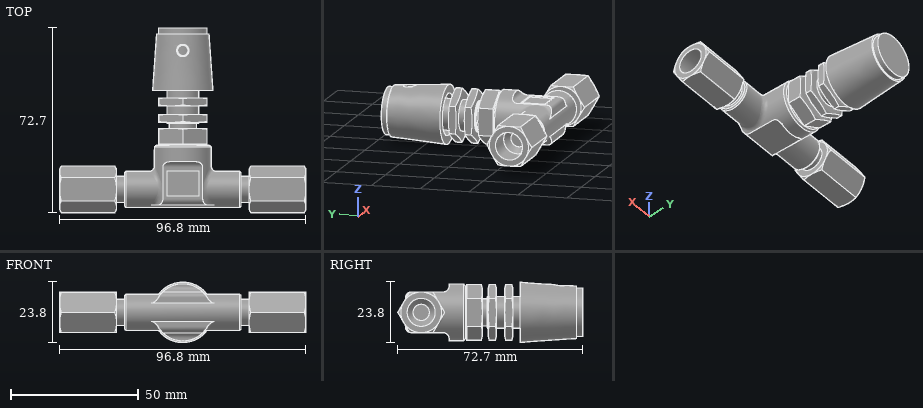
import cadquery as cq
import math


RUN_RADIUS = 7.2
RUN_HALF_LENGTH = 22.9
RUN_END_CHAMFER = 0.6
COLLAR_RADIUS = 11.2
COLLAR_TOP = 17.4
COLLAR_CHAMFER_RADIAL = 0.9
COLLAR_CHAMFER_AXIAL = 0.8
NECK_FILLET = 1.9
PAD_HALF_HEIGHT = 8.0
PAD_BOTTOM = -6.2
PAD_EDGE_RADIUS = 2.3
PAD_SHOULDER = 10.9
LABEL_WIDTH = 12.6
LABEL_TOP = 7.3
LABEL_BOTTOM = -2.5
LABEL_DEPTH = 0.5

FITTING_END = 48.4
FITTING_HEX_LENGTH = 22.4
FITTING_HEX_FLATS = 16.0
FITTING_CHAMFER = 0.7
FITTING_NECK_RADIUS = 5.2
BORE_RADIUS = 5.5
BORE_DEPTH = 11.6
BORE_SEAT_RADIUS = 3.2

BONNET_HEX_FLATS = 19.1
BONNET_HEX_CHAMFER = 0.4
BONNET_HEX_BOTTOM = 17.8
BONNET_HEX_TOP = 24.0
BONNET_NECK_RADIUS = 5.4
THREAD_RADIUS = 6.3
THREAD_BOTTOM = 25.8
THREAD_CHAMFER = 0.3
LOCK_NUT_THICKNESS = 3.2
LOCK_NUT_BOTTOMS = (26.3, 32.8)

KNOB_BOTTOM = 38.8
KNOB_SHOULDER = 61.1
KNOB_TOP = 63.5
KNOB_BOTTOM_RADIUS = 11.9
KNOB_SHOULDER_RADIUS = 10.4
KNOB_CAP_RADIUS = 9.6
KNOB_RECESS_RADIUS = 8.4
KNOB_RECESS_DEPTH = 7.7
KNOB_RECESS_TOP = KNOB_BOTTOM + KNOB_RECESS_DEPTH
SCREW_HOLE_Y = 54.6
SCREW_HOLE_RADIUS = 2.0
SCREW_MOUTH_RADIUS = 2.4
SCREW_MOUTH_LEVEL = 9.6
SCREW_FLOOR_RADIUS = 6.3


def spindle_cylinder(radius, bottom, top):
    """A cylinder on the spindle axis, between two Y levels."""
    return cq.Workplane("XZ", origin=(0, bottom, 0)).circle(radius).extrude(bottom - top)


def spindle_turning(points):
    """A solid turned about the spindle axis from (radius, Y) points."""
    return cq.Workplane("XY").polyline(points).close().revolve(360, (0, 0, 0), (0, 1, 0))


def hexagon(flats, length, chamfer, both_ends):
    """A hexagonal prism from Z = 0 up, two corners on X, with its top or both ends turned to a cone."""
    corner = flats / math.sqrt(3)
    face = flats / 2
    bottom = [(face, 0), (corner, chamfer)] if both_ends else [(corner, 0)]
    top = [(corner, length - chamfer), (face, length)]
    outline = [(0, 0), *bottom, *top, (0, length)]
    turned = cq.Workplane("XZ").polyline(outline).close().revolve(360, (0, 0, 0), (0, 1, 0))
    return cq.Workplane("XY").polygon(6, 2 * corner).extrude(length).intersect(turned)


def spindle_hexagon(bottom, top, both_ends):
    """A hexagon on the spindle axis with corners at +Z and -Z."""
    upright = hexagon(BONNET_HEX_FLATS, top - bottom, BONNET_HEX_CHAMFER, both_ends)
    corners_turned = upright.rotate((0, 0, 0), (0, 0, 1), 90)
    return corners_turned.rotate((0, 0, 0), (1, 0, 0), -90).translate((0, bottom, 0))


def pad_profile():
    """The slab that flattens the collar above and below the run and rounds its lower edges."""
    bend = PAD_EDGE_RADIUS * math.sqrt(0.5)
    shoulder_z = PAD_HALF_HEIGHT + PAD_EDGE_RADIUS
    edge_y = PAD_BOTTOM + PAD_EDGE_RADIUS
    edge_z = PAD_HALF_HEIGHT - PAD_EDGE_RADIUS
    half = (
        cq.Workplane("YZ", origin=(-RUN_HALF_LENGTH, 0, 0))
        .moveTo(COLLAR_TOP, 0)
        .lineTo(COLLAR_TOP, COLLAR_RADIUS)
        .lineTo(PAD_SHOULDER, COLLAR_RADIUS)
        .lineTo(PAD_SHOULDER, shoulder_z)
        .threePointArc(
            (PAD_SHOULDER - PAD_EDGE_RADIUS + bend, shoulder_z - bend),
            (PAD_SHOULDER - PAD_EDGE_RADIUS, PAD_HALF_HEIGHT),
        )
        .lineTo(edge_y, PAD_HALF_HEIGHT)
        .threePointArc((edge_y - bend, edge_z + bend), (PAD_BOTTOM, edge_z))
        .lineTo(PAD_BOTTOM, 0)
        .close()
        .extrude(2 * RUN_HALF_LENGTH)
    )
    return half.union(half.mirror("XY"))


def make_tee():
    """The run and the collar with filleted joints, flattened to a pad with a shallow label recess."""
    run = (
        cq.Workplane("YZ", origin=(-RUN_HALF_LENGTH, 0, 0))
        .circle(RUN_RADIUS)
        .extrude(2 * RUN_HALF_LENGTH)
        .faces("<X or >X")
        .chamfer(RUN_END_CHAMFER)
    )
    collar = spindle_cylinder(COLLAR_RADIUS, -COLLAR_TOP, COLLAR_TOP)
    joints = cq.selectors.BoxSelector(
        (-COLLAR_RADIUS, -RUN_RADIUS, -RUN_RADIUS), (COLLAR_RADIUS, RUN_RADIUS, RUN_RADIUS)
    )
    cross = run.union(collar).edges(joints).fillet(NECK_FILLET)
    tee = cross.intersect(pad_profile()).union(run)
    crown = spindle_turning([
        (COLLAR_RADIUS - COLLAR_CHAMFER_RADIAL, COLLAR_TOP),
        (COLLAR_RADIUS, COLLAR_TOP),
        (COLLAR_RADIUS, COLLAR_TOP - COLLAR_CHAMFER_AXIAL),
    ])
    label = (
        cq.Workplane("XY")
        .box(LABEL_WIDTH, LABEL_TOP - LABEL_BOTTOM, LABEL_DEPTH)
        .translate((0, (LABEL_TOP + LABEL_BOTTOM) / 2, PAD_HALF_HEIGHT - LABEL_DEPTH / 2))
    )
    return tee.cut(crown).cut(label)


def make_fitting(side):
    """A hexagonal end fitting whose neck meets the run end; side is -1 or +1 along X."""
    hex_start = FITTING_END - FITTING_HEX_LENGTH
    seat_depth = BORE_DEPTH + BORE_RADIUS - BORE_SEAT_RADIUS
    body = hexagon(FITTING_HEX_FLATS, FITTING_HEX_LENGTH, FITTING_CHAMFER, True)
    neck_length = hex_start - RUN_HALF_LENGTH
    neck = cq.Workplane("XY").circle(FITTING_NECK_RADIUS).extrude(-neck_length)
    bore_outline = [
        (0, FITTING_HEX_LENGTH),
        (BORE_RADIUS, FITTING_HEX_LENGTH),
        (BORE_RADIUS, FITTING_HEX_LENGTH - BORE_DEPTH),
        (BORE_SEAT_RADIUS, FITTING_HEX_LENGTH - seat_depth),
        (0, FITTING_HEX_LENGTH - seat_depth),
    ]
    bore = cq.Workplane("XZ").polyline(bore_outline).close().revolve(360, (0, 0, 0), (0, 1, 0))
    fitting = body.union(neck).cut(bore).translate((0, 0, hex_start))
    return fitting.rotate((0, 0, 0), (0, 0, 1), 90).rotate((0, 0, 0), (0, 1, 0), 90 * side)


def make_bonnet():
    """The threaded stem with its hexagon and lock nuts, standing on the collar and ending in the knob."""
    stem = spindle_turning([
        (0, COLLAR_TOP),
        (BONNET_NECK_RADIUS, COLLAR_TOP),
        (BONNET_NECK_RADIUS, THREAD_BOTTOM),
        (THREAD_RADIUS - THREAD_CHAMFER, THREAD_BOTTOM),
        (THREAD_RADIUS, THREAD_BOTTOM + THREAD_CHAMFER),
        (THREAD_RADIUS, KNOB_RECESS_TOP),
        (0, KNOB_RECESS_TOP),
    ])
    bonnet = stem.union(spindle_hexagon(BONNET_HEX_BOTTOM, BONNET_HEX_TOP, False))
    for nut_bottom in LOCK_NUT_BOTTOMS:
        bonnet = bonnet.union(spindle_hexagon(nut_bottom, nut_bottom + LOCK_NUT_THICKNESS, True))
    return bonnet


def make_knob():
    """The tapered knob, recessed around the stem, with a stepped set-screw hole in its side."""
    knob = spindle_turning([
        (0, KNOB_RECESS_TOP),
        (KNOB_RECESS_RADIUS, KNOB_RECESS_TOP),
        (KNOB_RECESS_RADIUS, KNOB_BOTTOM),
        (KNOB_BOTTOM_RADIUS, KNOB_BOTTOM),
        (KNOB_SHOULDER_RADIUS, KNOB_SHOULDER),
        (KNOB_CAP_RADIUS, KNOB_SHOULDER),
        (KNOB_CAP_RADIUS, KNOB_TOP),
        (0, KNOB_TOP),
    ])
    center = (0, SCREW_HOLE_Y, 0)
    hole = cq.Workplane("XY", origin=center).circle(SCREW_HOLE_RADIUS).extrude(KNOB_BOTTOM_RADIUS)
    floor = spindle_cylinder(SCREW_FLOOR_RADIUS, KNOB_RECESS_TOP, KNOB_TOP)
    mouth = (
        cq.Workplane("XY", origin=center)
        .workplane(offset=SCREW_MOUTH_LEVEL)
        .circle(SCREW_MOUTH_RADIUS)
        .extrude(KNOB_BOTTOM_RADIUS - SCREW_MOUTH_LEVEL)
    )
    return knob.cut(hole.cut(floor)).cut(mouth)


tee = make_tee()
bonnet = make_bonnet()
knob = make_knob()
fittings = [make_fitting(side) for side in (-1, 1)]

result = cq.Compound.makeCompound([
    tee.val(),
    bonnet.val(),
    knob.val(),
    *[fitting.val() for fitting in fittings],
])